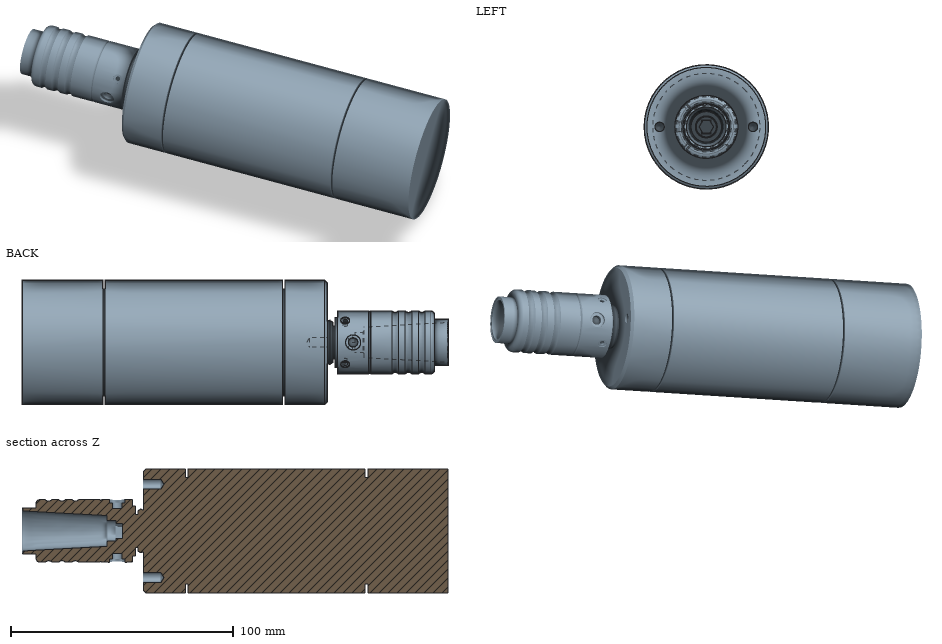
import cadquery as cq
import math

total_length = 191.7

sleeve_diameter = 21.0
sleeve_bore_diameter = 19.95
knob_diameter = 28.4
knob_start = 6.1
knob_end = 49.8
knob_nose_radius = 2.0
grip_groove_starts = (10.4, 16.4, 22.4)
grip_groove_width = 3.0
grip_groove_radius = 2.0
seam_start = 34.8
seam_width = 1.0
seam_depth = 0.35

collar_diameter = 22.6
collar_end = 51.0
neck_diameter = 14.95
flange_rim_diameter = 19.95
flange_front_diameter = 18.0
flange_rear_diameter = 19.1
flange_start = 51.9
flange_rim_position = 53.3

body_diameter = 56.0
body_start = 54.4
body_chamfer = 1.25
body_groove_diameter = 48.18
body_groove_width = 1.0
body_groove_starts = (73.5, 154.4)

sleeve_bore_depth = 0.3
taper_large_diameter = 17.9
taper_small_diameter = 13.7
taper_depth = 38.0
hub_hole_diameter = 9.0
hub_hole_chamfer = 0.45
hub_hole_depth = 42.0
hex_across_flats = 5.6
hex_depth = 45.0
notch_width = 4.4
notch_length = 6.4
notch_depth = 1.0

port_position = 42.8
port_diameter = 6.8
port_depth = 1.4
port_hole_diameter = 4.2
port_hole_depth = 4.0
port_angles = (0, 180)

screw_position = 46.4
screw_hole_diameter = 4.0
screw_recess = 0.6
screw_socket_across_flats = 2.0
screw_socket_depth = 3.0
screw_socket_turn = 30
screw_angles = (45, 135, 225, 315)

face_hole_diameter = 4.2
face_hole_pitch_diameter = 42.0
face_hole_depth = 8.0
face_hole_sides = (-1, 1)
drill_point_slope = math.radians(31)
face_hole_point_depth = face_hole_diameter / 2 * math.tan(drill_point_slope)


def cylinder(start, end, diameter):
    """Cylinder along the X axis."""
    return cq.Workplane("YZ", origin=(start, 0, 0)).circle(diameter / 2).extrude(end - start)


def ring(start, end, inner_diameter, outer_diameter):
    """Ring around the X axis."""
    return cylinder(start, end, outer_diameter).cut(cylinder(start, end, inner_diameter))


def cone(start, end, start_diameter, end_diameter):
    """Truncated or pointed cone along the X axis."""
    return cq.Workplane(
        cq.Solid.makeCone(
            start_diameter / 2,
            end_diameter / 2,
            end - start,
            cq.Vector(start, 0, 0),
            cq.Vector(1, 0, 0),
        )
    )


def hexagon(plane, across_flats, depth):
    """Hexagonal prism standing on the given workplane, one corner on its local x axis."""
    across_corners = across_flats / math.cos(math.pi / 6)
    return plane.polygon(6, across_corners).extrude(depth)


def make_grip_groove(start):
    """Shallow round-bottomed groove around the knob."""
    rim = knob_diameter / 2
    half_width = grip_groove_width / 2
    depth = grip_groove_radius - math.sqrt(grip_groove_radius**2 - half_width**2)
    return (
        cq.Workplane("XY")
        .moveTo(start, rim)
        .threePointArc((start + half_width, rim - depth), (start + grip_groove_width, rim))
        .close()
        .revolve(360, (0, 0, 0), (1, 0, 0))
    )


def make_seam():
    """V-shaped groove around the knob."""
    rim = knob_diameter / 2
    corners = [
        (seam_start, rim),
        (seam_start + seam_width / 2, rim - seam_depth),
        (seam_start + seam_width, rim),
    ]
    return cq.Workplane("XY").polyline(corners).close().revolve(360, (0, 0, 0), (1, 0, 0))


def make_knob():
    """Rounded-nose knob with its grip grooves and seam."""
    knob = cylinder(knob_start, knob_end, knob_diameter).faces("<X").edges().fillet(knob_nose_radius)
    for start in grip_groove_starts:
        knob = knob.cut(make_grip_groove(start))
    return knob.cut(make_seam())


def make_neck():
    """Collar, neck and a flange bevelled on both sides."""
    collar = cylinder(knob_end, collar_end, collar_diameter)
    neck = cylinder(collar_end, flange_start, neck_diameter)
    front_bevel = cone(flange_start, flange_rim_position, flange_front_diameter, flange_rim_diameter)
    rear_bevel = cone(flange_rim_position, body_start, flange_rim_diameter, flange_rear_diameter)
    return collar.union(neck).union(front_bevel).union(rear_bevel)


def make_body():
    """Main cylinder with a chamfered face and two narrow grooves."""
    body = cylinder(body_start, total_length, body_diameter)
    body = body.faces("<X").edges().chamfer(body_chamfer)
    for start in body_groove_starts:
        groove_end = start + body_groove_width
        body = body.cut(ring(start, groove_end, body_groove_diameter, body_diameter))
    return body


def make_bore():
    """Stepped bore ending in a hexagonal socket with a crosswise notch."""
    mouth = cylinder(0, sleeve_bore_depth, sleeve_bore_diameter)
    taper = cone(sleeve_bore_depth, taper_depth, taper_large_diameter, taper_small_diameter)
    hub_hole = cylinder(taper_depth, hub_hole_depth, hub_hole_diameter)
    countersink = cone(
        taper_depth,
        taper_depth + hub_hole_chamfer,
        hub_hole_diameter + 2 * hub_hole_chamfer,
        hub_hole_diameter,
    )
    socket_plane = cq.Workplane("YZ", origin=(hub_hole_depth, 0, 0))
    socket = hexagon(socket_plane, hex_across_flats, hex_depth - hub_hole_depth)
    notch = socket_plane.rect(notch_width, notch_length).extrude(notch_depth)
    return mouth.union(taper).union(hub_hole).union(countersink).union(socket).union(notch)


def radial_plane(position, angle):
    """Workplane touching the knob surface, facing inward, at an angle from +Y about X."""
    outward = cq.Vector(0, math.cos(math.radians(angle)), math.sin(math.radians(angle)))
    surface_point = cq.Vector(position, 0, 0) + outward * (knob_diameter / 2)
    return cq.Workplane(cq.Plane(surface_point, cq.Vector(1, 0, 0), outward * -1))


def make_port(angle):
    """Blind counterbored hole running in from the knob surface."""
    counterbore = radial_plane(port_position, angle).circle(port_diameter / 2).extrude(port_depth)
    hole = radial_plane(port_position, angle).circle(port_hole_diameter / 2).extrude(port_hole_depth)
    return counterbore.union(hole)


def make_screw_hole(angle):
    """Round recess with the hexagonal socket of a set screw in its floor."""
    plane = radial_plane(screw_position, angle)
    recess = plane.circle(screw_hole_diameter / 2).extrude(screw_recess)
    socket_plane = plane.transformed(rotate=(0, 0, screw_socket_turn))
    socket = hexagon(socket_plane, screw_socket_across_flats, screw_socket_depth)
    return recess.union(socket)


def make_face_hole(side):
    """Blind hole with a drill point, on the +Y or -Y side of the body face."""
    floor = body_start + face_hole_depth
    hole = cylinder(body_start, floor, face_hole_diameter)
    point = cone(floor, floor + face_hole_point_depth, face_hole_diameter, 0)
    return hole.union(point).translate((0, side * face_hole_pitch_diameter / 2, 0))


sleeve = cylinder(0, knob_start, sleeve_diameter)
result = sleeve.union(make_knob()).union(make_neck()).union(make_body())
result = result.cut(make_bore())
for port_angle in port_angles:
    result = result.cut(make_port(port_angle))
for screw_angle in screw_angles:
    result = result.cut(make_screw_hole(screw_angle))
for face_side in face_hole_sides:
    result = result.cut(make_face_hole(face_side))